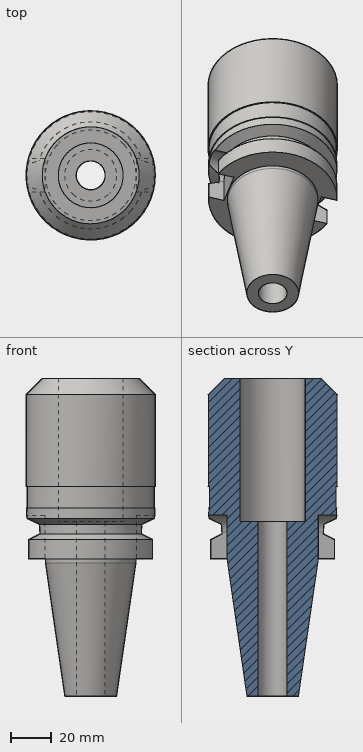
import cadquery as cq

total_length = 155.9

shank_tip_diameter = 25.4
gauge_diameter = 44.5
taper_length = 65.5
flange_bottom = 67.3

flange_diameter = 63.0
groove_diameter = 52.5
lower_rim_top = 76.9
groove_floor_bottom = 79.7
groove_floor_top = 84.3
upper_rim_bottom = 87.1
upper_rim_top = 92.5

neck_diameter = 62.4
body_diameter = 63.5
body_bottom = 102.9
nose_chamfer = 8.0

bore_diameter = 31.8
bore_depth = 70.2
through_hole_diameter = 14.0

slot_width = 16.4
slot_top = 88.7
slot_floor_distance = 22.5


def revolved_holder():
    """Outer shape, revolved from a half profile of (radius, height) points."""
    shank_tip_radius = shank_tip_diameter / 2
    gauge_radius = gauge_diameter / 2
    flange_radius = flange_diameter / 2
    groove_radius = groove_diameter / 2
    neck_radius = neck_diameter / 2
    body_radius = body_diameter / 2
    profile = [
        (0, 0),
        (shank_tip_radius, 0),
        (gauge_radius, taper_length),
        (gauge_radius, flange_bottom),
        (flange_radius, flange_bottom),
        (flange_radius, lower_rim_top),
        (groove_radius, groove_floor_bottom),
        (groove_radius, groove_floor_top),
        (flange_radius, upper_rim_bottom),
        (flange_radius, upper_rim_top),
        (neck_radius, upper_rim_top),
        (neck_radius, body_bottom),
        (body_radius, body_bottom),
        (body_radius, total_length - nose_chamfer),
        (body_radius - nose_chamfer, total_length),
        (0, total_length),
    ]
    return cq.Workplane("XZ").polyline(profile).close().revolve(360, (0, 0), (0, 1))


def drive_slot(side):
    """Round-topped slot cutter, open at the flange bottom; side is -1 or +1 along X."""
    half_width = slot_width / 2
    arc_center_height = slot_top - half_width
    return (
        cq.Workplane("YZ", origin=(side * slot_floor_distance, 0, 0))
        .moveTo(-half_width, flange_bottom)
        .lineTo(half_width, flange_bottom)
        .lineTo(half_width, arc_center_height)
        .threePointArc((0, slot_top), (-half_width, arc_center_height))
        .close()
        .extrude(side * body_diameter / 2)
    )


result = revolved_holder()

for side in (-1, 1):
    result = result.cut(drive_slot(side))

result = result.faces(">Z").workplane().cboreHole(through_hole_diameter, bore_diameter, bore_depth)